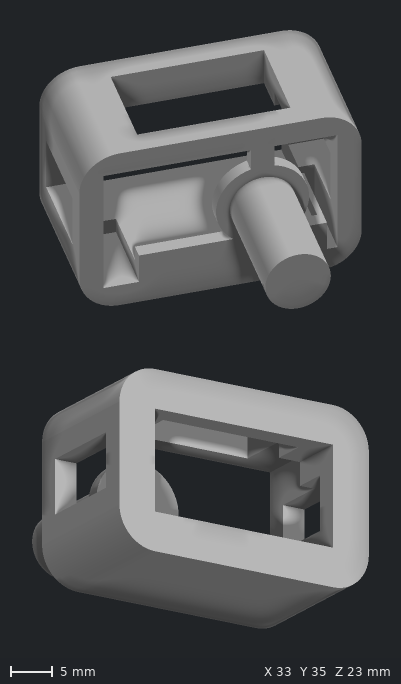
import cadquery as cq

frame_length = 17.5
frame_width = 35.0
frame_height = 23.0
corner_radius = 5.0
wall = 5.0
opening_width = frame_width - 2 * wall
opening_height = frame_height - 2 * wall

recess_start_x = 7.5
recess_depth = 2.0
recess_width = opening_width + 2 * recess_depth
recess_height = opening_height + 2 * recess_depth

window_margin = 3.0
window_length = 11.55
side_window_height = 7.0
top_window_width = 19.0
window_center_x = window_margin + window_length / 2

total_length = 33.0
rod_diameter = 8.12
rod_center_y = 5.2
disc_diameter = 11.55
plate_thickness = 1.8
plate_start_x = frame_length - plate_thickness
tab_width = 2.9
ledge_end_y = -10.1
ledge_height = 2.0
rail_thickness = 0.7


def box_between(x_range, y_range, z_range):
    """Box spanning the given limits along each axis."""
    (x0, x1), (y0, y1), (z0, z1) = x_range, y_range, z_range
    return cq.Workplane("XY").box(x1 - x0, y1 - y0, z1 - z0, centered=False).translate((x0, y0, z0))


def make_frame():
    outer = (
        cq.Workplane("XY")
        .box(frame_length, frame_width, frame_height, centered=(False, True, True))
        .edges("|X")
        .fillet(corner_radius)
    )
    opening = cq.Workplane("XY").box(
        frame_length, opening_width, opening_height, centered=(False, True, True)
    )
    recess = cq.Workplane("XY", origin=(recess_start_x, 0, 0)).box(
        frame_length - recess_start_x, recess_width, recess_height, centered=(False, True, True)
    )
    side_windows = cq.Workplane("XY").box(window_length, frame_width, side_window_height)
    top_window = cq.Workplane("XY").box(
        window_length, top_window_width, frame_height, centered=(True, True, False)
    )
    windows = side_windows.union(top_window).translate((window_center_x, 0, 0))
    return outer.cut(opening).cut(recess).cut(windows)


def cylinder_along_x(diameter, start_x, end_x):
    """Cylinder on the rod axis."""
    return (
        cq.Workplane("YZ", origin=(start_x, rod_center_y, 0))
        .circle(diameter / 2)
        .extrude(end_x - start_x)
    )


def make_supports():
    """Tab above the disc, ledge below it, and a base and side rail filling part of the recess."""
    plate_x = (plate_start_x, frame_length)
    base_x = (recess_start_x, frame_length)
    rail_y = (opening_width / 2, opening_width / 2 + rail_thickness)
    base_y = (ledge_end_y, rail_y[1])
    floor_z = -opening_height / 2
    recess_floor_z = -recess_height / 2
    ledge_top_z = floor_z + ledge_height
    tab = box_between(
        plate_x,
        (rod_center_y - tab_width / 2, rod_center_y + tab_width / 2),
        (0, recess_height / 2),
    )
    ledge = box_between(plate_x, base_y, (recess_floor_z, ledge_top_z))
    base = box_between(base_x, base_y, (recess_floor_z, floor_z))
    rail = box_between(base_x, rail_y, (recess_floor_z, ledge_top_z))
    return tab.union(ledge).union(base).union(rail)


disc = cylinder_along_x(disc_diameter, plate_start_x, frame_length)
rod = cylinder_along_x(rod_diameter, plate_start_x, total_length)
result = make_frame().union(make_supports()).union(disc).union(rod)